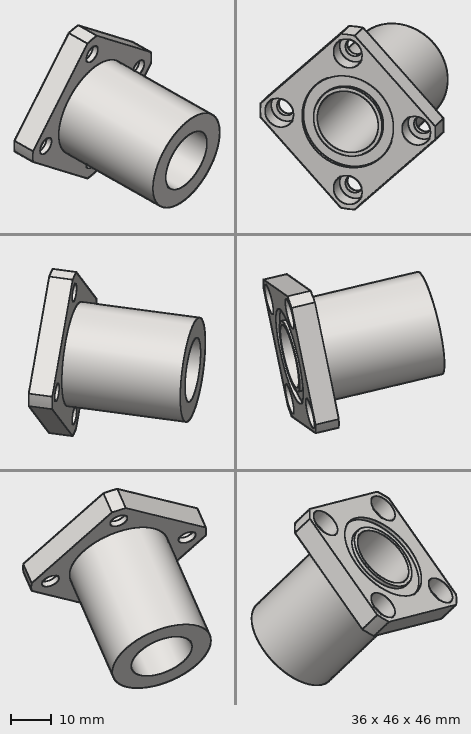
import cadquery as cq

flange_diameter = 46.0
flange_square = 35.0
flange_thickness = 6.0

total_length = 36.0
body_diameter = 26.0
bore_diameter = 16.0

groove_inner_diameter = 18.0
groove_outer_diameter = 24.0
groove_depth = 1.0

hole_count = 4
hole_circle_radius = 18.0
hole_diameter = 4.5
counterbore_diameter = 7.5
counterbore_depth = 4.4


def cylinder(diameter, length):
    """Cylinder along +X, starting on the flange face at X = 0."""
    return cq.Workplane("YZ").circle(diameter / 2).extrude(length)


def make_flange():
    square = (
        cq.Workplane("YZ")
        .rect(flange_square, flange_square)
        .extrude(flange_thickness)
        .rotate((0, 0, 0), (1, 0, 0), 45)
    )
    return square.intersect(cylinder(flange_diameter, flange_thickness))


def make_face_groove():
    core = cylinder(groove_inner_diameter, groove_depth)
    return cylinder(groove_outer_diameter, groove_depth).cut(core)


def make_mounting_holes():
    through = cylinder(hole_diameter, flange_thickness)
    stepped_hole = through.union(cylinder(counterbore_diameter, counterbore_depth))
    stepped_hole = stepped_hole.translate((0, hole_circle_radius, 0))
    holes = cq.Workplane("YZ")
    for index in range(hole_count):
        angle = index * 360 / hole_count
        holes = holes.add(stepped_hole.rotate((0, 0, 0), (1, 0, 0), angle))
    return holes.combine()


result = make_flange().union(cylinder(body_diameter, total_length))
result = result.cut(cylinder(bore_diameter, total_length))
result = result.cut(make_face_groove())
result = result.cut(make_mounting_holes())